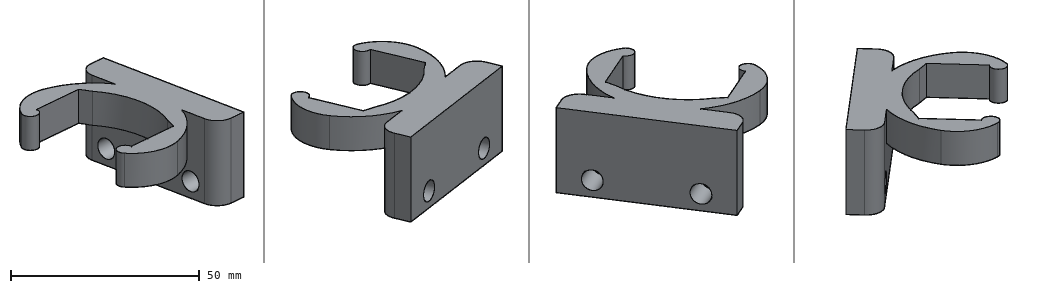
import cadquery as cq
import math

plate_width = 50
plate_depth = 10
plate_height = 25
corner_radius = 5

hole_diameter = 6
hole_spacing = 30
hole_height = 5

clip_height = 10
root_half_width = 11.9
upper_arc_middle = (21.25, -18.95)
arm_shoulder = (23.95, -25.2)
lower_arc_middle = (23.65, -33.2)

mouth_half_width = 16.9
mouth_corner_y = -18.85
crown_y = -13.5
crown_half_width = 13.4
crown_end_y = -17.3

bead_radius = 2.45
clip_reach = 40.45
bead_y = bead_radius - clip_reach
bead_join_angle = math.radians(-52)


def make_plate():
    plate = cq.Workplane("XY").box(
        plate_width, plate_depth, plate_height, centered=(True, False, False)
    )
    plate = plate.translate((0, -plate_depth, 0))
    return plate.edges("|Z and <Y").fillet(corner_radius)


def make_holes():
    return (
        cq.Workplane("XZ")
        .pushPoints([(-hole_spacing / 2, hole_height), (hole_spacing / 2, hole_height)])
        .circle(hole_diameter / 2)
        .extrude(plate_depth)
    )


def make_half_clip():
    """Right arm, its bead and half of the seat, closed along the symmetry plane."""
    bead_join = (
        mouth_half_width + bead_radius * math.cos(bead_join_angle),
        bead_y + bead_radius * math.sin(bead_join_angle),
    )
    crown_drop = crown_y - crown_end_y
    crown_radius = (crown_half_width**2 + crown_drop**2) / (2 * crown_drop)
    half_angle = math.asin(crown_half_width / crown_radius) / 2
    crown_middle = (
        crown_radius * math.sin(half_angle),
        crown_y - crown_radius * (1 - math.cos(half_angle)),
    )
    return (
        cq.Workplane("XY", origin=(0, 0, plate_height - clip_height))
        .moveTo(0, -plate_depth / 2)
        .lineTo(root_half_width, -plate_depth / 2)
        .lineTo(root_half_width, -plate_depth)
        .threePointArc(upper_arc_middle, arm_shoulder)
        .threePointArc(lower_arc_middle, bead_join)
        .threePointArc(
            (mouth_half_width - bead_radius, bead_y),
            (mouth_half_width, bead_y + bead_radius),
        )
        .lineTo(mouth_half_width, mouth_corner_y)
        .lineTo(crown_half_width, crown_end_y)
        .threePointArc(crown_middle, (0, crown_y))
        .close()
        .extrude(clip_height)
    )


half_clip = make_half_clip()
clip = half_clip.union(half_clip.mirror("YZ"))
result = make_plate().cut(make_holes()).union(clip)